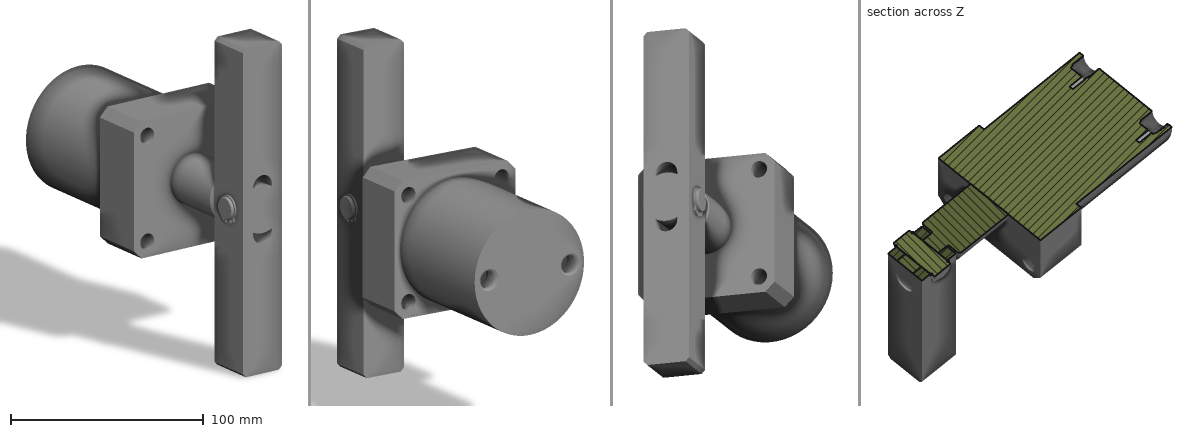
import cadquery as cq
import math


overall_length = 162.0

barrel_diameter = 68.0
barrel_length = 70.0
flange_size = 75.0
flange_length = 30.0
flange_chamfer = 5.0
bolt_hole_diameter = 8.8
bolt_hole_pitch = 58.0
port_offset = 25.2
port_diameter = 10.0
port_mouth_diameter = 11.9
port_depth = 10.0
thread_pitch = 0.9
thread_count = 9
passage_diameter = 2.2
passage_depth = 9.0
passage_offsets = (27.9, -20.9)

arm_length = 180.0
arm_width = 25.0
arm_end_chamfer = 2.0
slot_height = 37.5
rod_to_arm_gap = 1.0

rod_diameter = 28.0
rod_chamfer = 1.0
tang_thickness = 12.0

pin_diameter = 12.0
pin_length = 30.6
pin_chamfer = 0.4
groove_depth = 0.25
ring_thickness = 1.0
ring_outer_radius = 6.8
lug_tip_radius = 8.5
lug_half_width = 5.4
lug_gap = 2.2
lug_hole_diameter = 1.6
lug_hole_radius = 7.0
lug_hole_angle = 25.0

flange_front = barrel_length + flange_length
arm_rear = overall_length - arm_width
arm_center = overall_length - arm_width / 2
rod_shoulder = arm_rear - rod_to_arm_gap
tang_diameter = rod_diameter - 2 * rod_chamfer
arm_side = arm_width / 2
groove_diameter = pin_diameter - 2 * groove_depth
ring_starts = (-arm_side - ring_thickness, arm_side)


def cylinder_x(diameter, start, length, y=0.0):
    """Cylinder along +X, starting at X = start."""
    plane = cq.Workplane("YZ", origin=(start, y, 0))
    return plane.circle(diameter / 2).extrude(length)


def cylinder_y(diameter, start, length):
    """Cylinder along +Y through the pin axis, starting at Y = start."""
    plane = cq.Workplane("XZ", origin=(arm_center, start, 0))
    return plane.circle(diameter / 2).extrude(-length)


def make_port(y):
    """Threaded blind port in the barrel's rear face, with a countersunk mouth.

    The thread is a row of ring-shaped V grooves, one pitch apart.
    """
    bore_radius = port_diameter / 2
    mouth_radius = port_mouth_diameter / 2
    half_groove = thread_pitch / 2
    profile = (
        cq.Workplane("XY", origin=(0, y, 0))
        .lineTo(0, mouth_radius)
        .lineTo(half_groove, bore_radius)
    )
    for turn in range(1, thread_count + 1):
        root = turn * thread_pitch
        profile = profile.lineTo(root, mouth_radius).lineTo(root + half_groove, bore_radius)
    profile = profile.lineTo(port_depth, bore_radius).lineTo(port_depth, 0).close()
    return profile.revolve(360, (0, 0, 0), (1, 0, 0))


def make_housing():
    flange = (
        cq.Workplane("YZ", origin=(barrel_length, 0, 0))
        .rect(flange_size, flange_size)
        .extrude(flange_length)
        .edges("|X")
        .chamfer(flange_chamfer)
        .faces(">X")
        .workplane()
        .rect(bolt_hole_pitch, bolt_hole_pitch, forConstruction=True)
        .vertices()
        .hole(bolt_hole_diameter)
    )
    housing = cylinder_x(barrel_diameter, 0, barrel_length).union(flange)
    for y in (port_offset, -port_offset):
        housing = housing.cut(make_port(y))
    for y in passage_offsets:
        housing = housing.cut(cylinder_x(passage_diameter, port_depth, passage_depth, y))
    return housing


def make_rod():
    """Rod with a chamfered shoulder and a two-flat tang that carries the pin."""
    shank = (
        cylinder_x(rod_diameter, flange_front, rod_shoulder - flange_front)
        .faces(">X")
        .chamfer(rod_chamfer)
    )
    tang_length = overall_length - rod_shoulder
    flats = (
        cq.Workplane("YZ", origin=(rod_shoulder, 0, 0))
        .rect(tang_thickness, tang_diameter)
        .extrude(tang_length)
    )
    tang = cylinder_x(tang_diameter, rod_shoulder, tang_length).intersect(flats)
    pin_hole = cylinder_y(pin_diameter, -arm_side, arm_width)
    return shank.union(tang).cut(pin_hole)


def make_arm():
    """Square bar with chamfered ends, a round-ended slot and a cross hole."""
    bar = (
        cq.Workplane("XY")
        .box(arm_width, arm_width, arm_length)
        .translate((arm_center, 0, 0))
        .faces("|Z")
        .edges("|X")
        .chamfer(arm_end_chamfer)
    )
    slot = (
        cq.Workplane("YZ", origin=(arm_rear, 0, 0))
        .slot2D(slot_height, tang_thickness, 90)
        .extrude(arm_width)
    )
    return bar.cut(slot).cut(cylinder_y(pin_diameter, -arm_side, arm_width))


def make_pin():
    """Pin with chamfered ends and a ring groove just outside each arm side."""
    pin = cylinder_y(pin_diameter, -pin_length / 2, pin_length).faces("<Y or >Y").chamfer(pin_chamfer)
    for start in ring_starts:
        groove = cylinder_y(pin_diameter, start, ring_thickness).cut(
            cylinder_y(groove_diameter, start, ring_thickness)
        )
        pin = pin.cut(groove)
    return pin


def make_ring(start):
    """Open retaining ring with two drilled lugs at its lower side."""
    plane = cq.Workplane("XZ", origin=(arm_center, start, 0))
    band = cylinder_y(2 * ring_outer_radius, start, ring_thickness)
    lower_half = plane.center(0, -lug_tip_radius / 2)
    lug_box = lower_half.rect(2 * lug_half_width, lug_tip_radius).extrude(-ring_thickness)
    lugs = cylinder_y(2 * lug_tip_radius, start, ring_thickness).intersect(lug_box)
    gap = lower_half.rect(lug_gap, lug_tip_radius).extrude(-ring_thickness)
    hole_x = lug_hole_radius * math.sin(math.radians(lug_hole_angle))
    hole_z = -lug_hole_radius * math.cos(math.radians(lug_hole_angle))
    lug_holes = (
        plane.pushPoints([(-hole_x, hole_z), (hole_x, hole_z)])
        .circle(lug_hole_diameter / 2)
        .extrude(-ring_thickness)
    )
    bore = cylinder_y(groove_diameter, start, ring_thickness)
    return band.union(lugs).cut(bore).cut(gap).cut(lug_holes)


housing = make_housing()
rod = make_rod()
arm = make_arm()
pin = make_pin()
rings = [make_ring(start) for start in ring_starts]

result = cq.Compound.makeCompound(
    [housing.val(), rod.val(), arm.val(), pin.val(), *[ring.val() for ring in rings]]
)